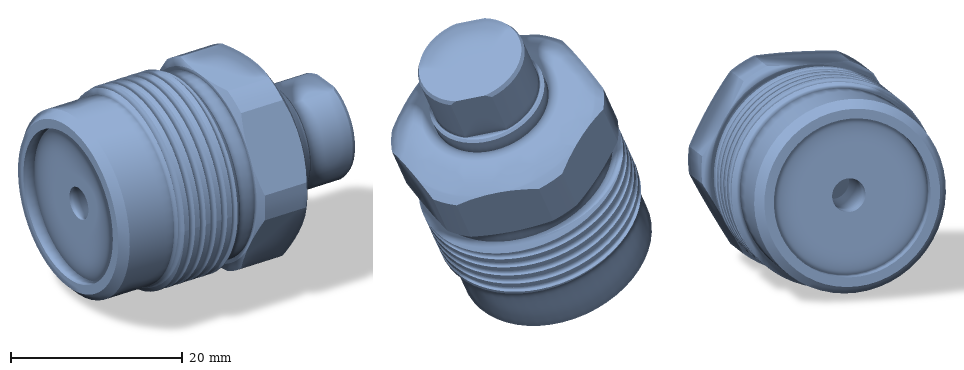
import cadquery as cq
import math

barrel_end = 7.15
neck_start = 16.45
hex_start = 18.5
hex_end = 27.45
collar_end = 29.5
total_length = 36.0

barrel_radius = 11.63
thread_radius = 12.5
neck_radius = 11.52
hex_round_radius = 13.0
hex_rear_radius = 8.5
collar_radius = 7.02
stub_radius = 6.5

barrel_chamfer = 0.97
hex_front_chamfer_length = 0.5
hex_rear_round_length = 2.63
hex_rear_round_bulge = 0.2
collar_chamfer = 0.3
stub_chamfer_length = 0.5
stub_chamfer_depth = 0.25

hex_across_flats = 23.98
stub_across_flats = 12.02

recess_radius = 9.5
recess_depth = 1.5
bore_radius = 2.0
bore_depth = 7.2

thread_pitch = 9.0 / 6
groove_depth = 0.72
groove_half_angle = 30.0
groove_start = 6.12
groove_turns = 7
groove_overshoot = 0.18


def turned_body():
    """Solid of revolution about Y holding every outer diameter except the thread."""
    hex_front_radius = hex_across_flats / 2
    front_outline = [
        (0, 0),
        (barrel_radius - barrel_chamfer, 0),
        (barrel_radius, barrel_chamfer),
        (barrel_radius, barrel_end),
        (neck_radius, barrel_end),
        (neck_radius, hex_start),
        (hex_front_radius, hex_start),
        (hex_round_radius, hex_start + hex_front_chamfer_length),
        (hex_round_radius, hex_end - hex_rear_round_length),
    ]
    rear_outline = [
        (collar_radius, hex_end),
        (collar_radius, collar_end - collar_chamfer),
        (collar_radius - collar_chamfer, collar_end),
        (stub_radius, collar_end),
        (stub_radius, total_length - stub_chamfer_length),
        (stub_radius - stub_chamfer_depth, total_length),
        (0, total_length),
    ]
    return (
        cq.Workplane("ZY")
        .polyline(front_outline)
        .sagittaArc((hex_rear_radius, hex_end), -hex_rear_round_bulge)
        .polyline(rear_outline, includeCurrent=True)
        .close()
        .revolve(360, (0, 0, 0), (0, 1, 0))
    )


def y_plane(y):
    """Workplane across the axis at station y, extruding toward +Y."""
    return cq.Workplane(cq.Plane(origin=(0, y, 0), xDir=(1, 0, 0), normal=(0, 1, 0)))


def ring_outside(start, end, core):
    """Oversized disc from start to end with the given core removed, used as a cutter."""
    return y_plane(start).circle(2 * hex_round_radius).extrude(end - start).cut(core)


def hex_cutter():
    """Material outside the hexagon, whose corners point along X."""
    corner_diameter = hex_across_flats / math.cos(math.radians(30))
    core = y_plane(hex_start).polygon(6, corner_diameter).extrude(hex_end - hex_start)
    return ring_outside(hex_start, hex_end, core)


def stub_flats_cutter():
    """Material above and below the two flats of the rear stub."""
    length = total_length - collar_end
    core = y_plane(collar_end).rect(4 * hex_round_radius, stub_across_flats).extrude(length)
    return ring_outside(collar_end, total_length, core)


def thread_groove():
    """Left-hand V groove, swept along Z and then turned onto the Y axis."""
    root_radius = thread_radius - groove_depth
    mouth_radius = thread_radius + groove_overshoot
    half_mouth = (mouth_radius - root_radius) * math.tan(math.radians(groove_half_angle))
    path = cq.Wire.makeHelix(
        thread_pitch, groove_turns * thread_pitch, root_radius, lefthand=True
    )
    section = (
        cq.Workplane("XZ")
        .moveTo(root_radius, 0)
        .lineTo(mouth_radius, half_mouth)
        .lineTo(mouth_radius, -half_mouth)
        .close()
    )
    groove = section.sweep(cq.Workplane(obj=path), isFrenet=True)
    return groove.rotate((0, 0, 0), (1, 0, 0), -90).translate((0, groove_start, 0))


def threaded_collar():
    """Grooved rod trimmed to a collar with a 45 degree chamfer down to each neighbour."""
    groove = thread_groove()
    rod_start = barrel_end - thread_pitch
    rod_length = neck_start + thread_pitch - rod_start
    rod = y_plane(rod_start).circle(thread_radius).extrude(rod_length).cut(groove)
    outline = [
        (0, barrel_end),
        (barrel_radius, barrel_end),
        (thread_radius, barrel_end + thread_radius - barrel_radius),
        (thread_radius, neck_start - (thread_radius - neck_radius)),
        (neck_radius, neck_start),
        (0, neck_start),
    ]
    collar = cq.Workplane("XY").polyline(outline).close().revolve(360, (0, 0, 0), (0, 1, 0))
    return rod.intersect(collar)


recess = y_plane(0).circle(recess_radius).extrude(recess_depth)
bore = y_plane(recess_depth).circle(bore_radius).extrude(bore_depth)

result = (
    turned_body()
    .cut(hex_cutter())
    .cut(stub_flats_cutter())
    .union(threaded_collar())
    .cut(recess)
    .cut(bore)
)